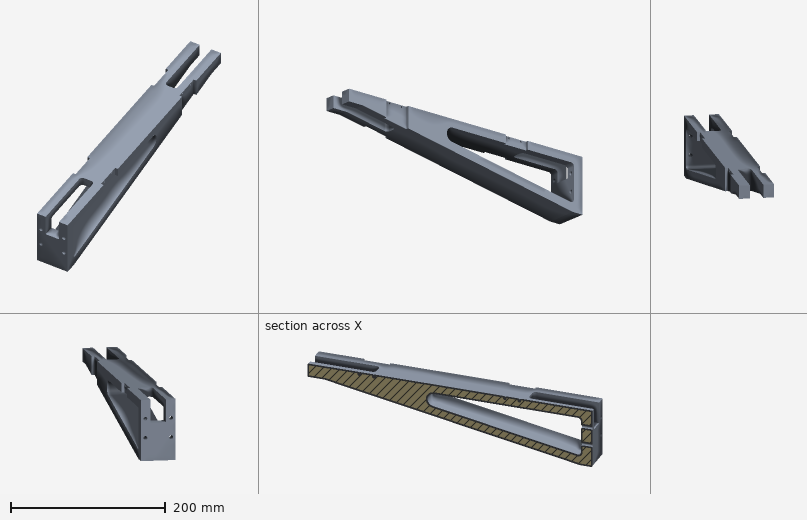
import cadquery as cq
import math

LENGTH = 391.5
WIDTH = 46.0
HEIGHT = 80.0

BACK_HEIGHT = 17.5
BACK_FLAT = 23.0
FRONT_FLAT = 16.0
TAPER_SLOPE = (HEIGHT - BACK_HEIGHT) / (LENGTH - BACK_FLAT - FRONT_FLAT)
TAPER_ANGLE = math.atan(TAPER_SLOPE)

TOP_BAR = 12.0
LOWER_BAR = 12.0
FRONT_WALL = 14.5
WINDOW_BACK = 227.5
WINDOW_CORNER_RADIUS = 4.7

SLOT_CORNER_RADIUS = 4.7
BACK_SLOT_WIDTH = 17.5
BACK_SLOT_LENGTH = 90.0
FRONT_SLOT_WIDTH = 20.0
FRONT_SLOT_LENGTH = 90.5
FRONT_SLOT_DEPTH = 29.8

NOTCH_DEPTH = 4.0
NOTCH_LENGTH = 36.5
NOTCH_PITCH = 200.5
BACK_NOTCH_INSET = 81.0
BACK_NOTCH_CENTER = LENGTH - BACK_NOTCH_INSET
FRONT_NOTCH_CENTER = BACK_NOTCH_CENTER - NOTCH_PITCH
NOTCH_HOLE_DIAMETER = 2.5
NOTCH_HOLE_DEPTH = 5.0
NOTCH_HOLE_SPACING = 20.0
NOTCH_HOLE_DROP = 2.5

FRONT_HOLE_DIAMETER = 5.0
FRONT_HOLE_SPACING_X = 34.0
FRONT_HOLE_DROPS = (24.5, 49.7)


def side_prism(outline):
    """Extrude a closed (Y, Z) outline across the full width."""
    return outline.close().extrude(WIDTH / 2, both=True)


def tapered_body():
    outline = (
        cq.Workplane("YZ")
        .moveTo(0, 0)
        .lineTo(FRONT_FLAT, 0)
        .lineTo(LENGTH - BACK_FLAT, HEIGHT - BACK_HEIGHT)
        .lineTo(LENGTH, HEIGHT - BACK_HEIGHT)
        .lineTo(LENGTH, HEIGHT)
        .lineTo(0, HEIGHT)
    )
    return side_prism(outline)


def window():
    """Tapered opening whose lower edge runs parallel to the sloping underside."""
    top = HEIGHT - TOP_BAR
    slope_offset = LOWER_BAR / math.cos(TAPER_ANGLE)

    def lower_edge(y):
        return (y - FRONT_FLAT) * TAPER_SLOPE + slope_offset

    tip = FRONT_FLAT + (top - slope_offset) / TAPER_SLOPE
    back_radius = (tip - WINDOW_BACK) / (1 / math.tan(TAPER_ANGLE / 2) - 1)
    wedge = side_prism(
        cq.Workplane("YZ")
        .moveTo(FRONT_WALL, lower_edge(FRONT_WALL))
        .lineTo(tip, top)
        .lineTo(FRONT_WALL, top)
    )
    wedge = wedge.edges("|X and <Y").fillet(WINDOW_CORNER_RADIUS)
    return wedge.edges("|X and >Y").fillet(back_radius)


def end_slot(width, y_start, y_end, depth, closed_end):
    """Vertical slot cut down from the top, rounded at its closed end."""
    slot = cq.Workplane("XY").box(width, y_end - y_start, depth, centered=(True, False, False))
    slot = slot.edges("|Z and " + closed_end).fillet(SLOT_CORNER_RADIUS)
    return slot.translate((0, y_start, HEIGHT - depth))


def side_notch(side, y_center, depth):
    """Notch and hole pair on one side (side is -1 or +1 along X)."""
    floor_x = WIDTH / 2 - NOTCH_DEPTH
    notch = (
        cq.Workplane("XY")
        .box(NOTCH_DEPTH, NOTCH_LENGTH, depth, centered=(False, True, False))
        .translate((floor_x, y_center, HEIGHT - depth))
    )
    holes = (
        cq.Workplane("YZ", origin=(floor_x, y_center, HEIGHT - NOTCH_HOLE_DROP))
        .rarray(NOTCH_HOLE_SPACING, 4, 2, 1)
        .circle(NOTCH_HOLE_DIAMETER / 2)
        .extrude(-NOTCH_HOLE_DEPTH)
    )
    cutter = notch.union(holes)
    if side < 0:
        cutter = cutter.mirror("YZ")
    return cutter


def front_holes():
    points = [
        (side * FRONT_HOLE_SPACING_X / 2, HEIGHT - drop)
        for side in (-1, 1)
        for drop in FRONT_HOLE_DROPS
    ]
    return cq.Workplane("XZ").pushPoints(points).circle(FRONT_HOLE_DIAMETER / 2).extrude(-FRONT_WALL)


result = tapered_body().cut(window())
result = result.cut(end_slot(BACK_SLOT_WIDTH, LENGTH - BACK_SLOT_LENGTH, LENGTH, HEIGHT, "<Y"))
result = result.cut(end_slot(FRONT_SLOT_WIDTH, 0, FRONT_SLOT_LENGTH, FRONT_SLOT_DEPTH, ">Y"))
for side in (-1, 1):
    result = result.cut(side_notch(side, BACK_NOTCH_CENTER, HEIGHT))
    result = result.cut(side_notch(side, FRONT_NOTCH_CENTER, TOP_BAR))
result = result.cut(front_holes())